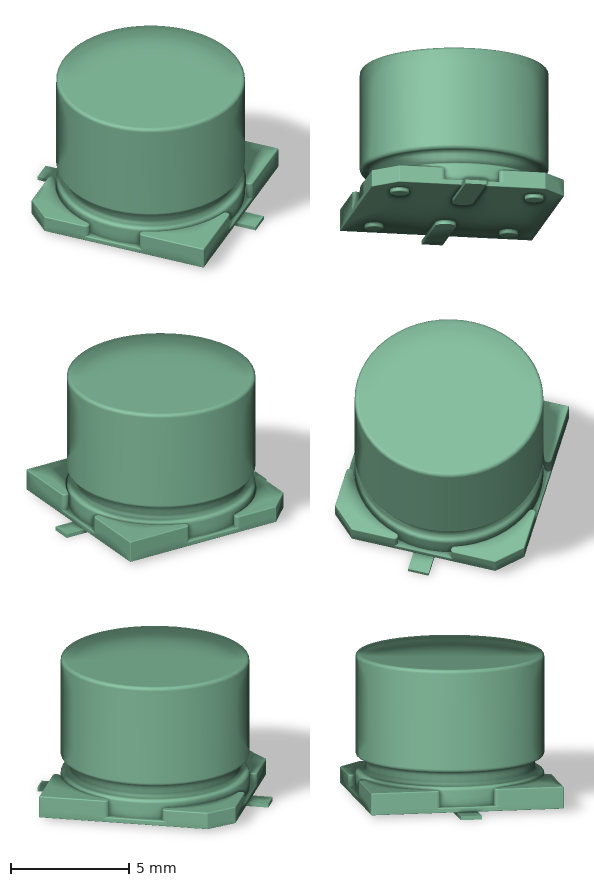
import cadquery as cq

LEAD_SPAN = 10.0
BASE_SIDE = 8.3
TOTAL_HEIGHT = 6.27

STANDOFF = 0.17
LEAD_WIDTH = 0.9
LEAD_GAP = 3.1
FOOT_DIAMETER = 0.8
FOOT_OFFSET = 2.9
FOOT_ROUND = 0.05

LEDGE_TOP = 0.39
LOW_CORNER_TOP = 0.9
HIGH_CORNER_TOP = 1.12
CORNER_CHAMFER = 1.0
SIDE_OPENING = 2.34
SEAT_RADIUS = 4.04
CORNER_END_ROUND = 0.16
BASE_EDGE_ROUND = 0.05
BOTTOM_EDGE_ROUND = 0.03

CAN_RADIUS = 4.0
NECK_RADIUS = 3.6
GROOVE_BOTTOM = 1.22
GROOVE_TOP = 1.84
CAN_ROUND = 0.15

HALF_BASE = BASE_SIDE / 2


def base_prism(top):
    """Base with two chamfered -X corners and softened vertical edges, from the standoff plane to top."""
    outline = cq.Workplane("XY").workplane(offset=STANDOFF).rect(BASE_SIDE, BASE_SIDE)
    prism = outline.extrude(top - STANDOFF)
    prism = prism.edges("|Z and <X").chamfer(CORNER_CHAMFER)
    return prism.edges("|Z").fillet(BASE_EDGE_ROUND)


def corner_block(x_sign, y_sign, top):
    """Raised corner of the base, hollowed on the inside around the can, with rounded ends."""
    half_opening = SIDE_OPENING / 2
    height = top - STANDOFF
    center = (half_opening + HALF_BASE) / 2
    side = HALF_BASE - half_opening
    quadrant = (
        cq.Workplane("XY")
        .workplane(offset=STANDOFF)
        .center(x_sign * center, y_sign * center)
        .rect(side, side)
        .extrude(height)
    )
    seat = cq.Workplane("XY").workplane(offset=STANDOFF).circle(SEAT_RADIUS).extrude(height)
    block = base_prism(top).intersect(quadrant).cut(seat)

    x_end_edges = "|Z and " + ("<X" if x_sign > 0 else ">X")
    y_end_edges = "|Z and " + ("<Y" if y_sign > 0 else ">Y")
    block = block.edges(x_end_edges).fillet(CORNER_END_ROUND)
    block = block.edges(y_end_edges).fillet(CORNER_END_ROUND)
    return block.faces(">Z").edges().fillet(BASE_EDGE_ROUND)


def make_base():
    """Thin ledge carrying two low corner blocks at -X and two high ones at +X."""
    base = base_prism(LEDGE_TOP).faces(">Z").edges().fillet(BASE_EDGE_ROUND)
    for x_sign, top in ((-1, LOW_CORNER_TOP), (1, HIGH_CORNER_TOP)):
        for y_sign in (-1, 1):
            base = base.union(corner_block(x_sign, y_sign, top))
    return base.faces("<Z").edges().fillet(BOTTOM_EDGE_ROUND)


def make_can():
    """Round can with a rolled groove near its bottom, rising through the base."""
    can = cq.Workplane("XY").workplane(offset=STANDOFF).circle(CAN_RADIUS).extrude(TOTAL_HEIGHT - STANDOFF)
    groove = (
        cq.Workplane("XY")
        .workplane(offset=GROOVE_BOTTOM)
        .circle(CAN_RADIUS)
        .circle(NECK_RADIUS)
        .extrude(GROOVE_TOP - GROOVE_BOTTOM)
    )
    rounded_edges = cq.selectors.BoxSelector(
        (-LEAD_SPAN, -LEAD_SPAN, LEDGE_TOP),
        (LEAD_SPAN, LEAD_SPAN, TOTAL_HEIGHT + CAN_ROUND),
    )
    return can.cut(groove).edges("%CIRCLE").edges(rounded_edges).fillet(CAN_ROUND)


def make_lead(x_sign):
    """Flat lead reaching out along X, with a full round inner end."""
    round_center = x_sign * (LEAD_GAP + LEAD_WIDTH) / 2
    outer_end = x_sign * LEAD_SPAN / 2
    half_width = LEAD_WIDTH / 2
    return (
        cq.Workplane("XY")
        .moveTo(outer_end, -half_width)
        .lineTo(round_center, -half_width)
        .threePointArc((x_sign * LEAD_GAP / 2, 0), (round_center, half_width))
        .lineTo(outer_end, half_width)
        .close()
        .extrude(STANDOFF)
    )


def make_feet():
    """Four round feet under the corners of the base."""
    feet = (
        cq.Workplane("XY")
        .rect(2 * FOOT_OFFSET, 2 * FOOT_OFFSET, forConstruction=True)
        .vertices()
        .circle(FOOT_DIAMETER / 2)
        .extrude(STANDOFF)
    )
    return feet.faces("<Z").edges().fillet(FOOT_ROUND)


result = make_base().union(make_can()).union(make_feet())
for lead_sign in (-1, 1):
    result = result.union(make_lead(lead_sign))